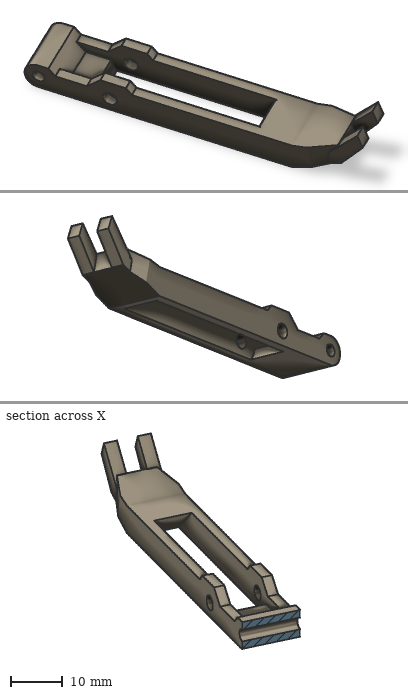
import cadquery as cq
import math

width = 12.4
arm_height = 6.0
nose_radius = arm_height / 2
slot_width = 8.0

nose_top_end = 5.05
notch_start = 6.55
notch_end = 13.25
notch_height = 4.5
boss_start = 16.1
boss_end = 21.5
boss_height = 7.3
boss_foot = 22.8
bend_top_x = 56.6
bend_bottom_x = 56.75

pin_hole_x = nose_radius
pin_hole_diameter = 2.5
pivot_hole_x = 18.1
pivot_hole_diameter = 3.0
hole_height = arm_height / 2

slot_end = 48.85
floor_height = 2.5
pivot_clearance_radius = 4.2

head_angle = math.radians(12.8)
head_length = 9.25
underside_angle = math.radians(22.3)
taper_start = 3.2
head_end_width = 8.55
taper_overrun = 0.7

fork_width = 10.05
fork_gap = 4.4
prong_tip = (70.1, 13.1)
prong_front = (71.2, 10.25)
root_along = 7.0
root_depth = 1.85


def head_point(along, depth):
    """XZ point at a distance along the sloped head top and a depth square to it."""
    x = bend_top_x + along * math.cos(head_angle) + depth * math.sin(head_angle)
    z = arm_height + along * math.sin(head_angle) - depth * math.cos(head_angle)
    return (x, z)


def underside_depth(along):
    """Depth, square to the head top, at which the sloped underside lies below that top."""
    x, z = head_point(along, 0)
    gap = z - (x - bend_bottom_x) * math.tan(underside_angle)
    return gap * math.cos(underside_angle) / math.cos(underside_angle - head_angle)


def across(sketch, thickness):
    """Extrude an XZ sketch symmetrically about the mid-plane."""
    return sketch.extrude(thickness / 2, both=True)


def make_body():
    """Solid side profile, from the rounded nose to the end of the head."""
    profile = (
        cq.Workplane("XZ")
        .moveTo(nose_radius, 0)
        .threePointArc((0, nose_radius), (nose_radius, arm_height))
        .lineTo(nose_top_end, arm_height)
        .lineTo(notch_start, notch_height)
        .lineTo(notch_end, notch_height)
        .lineTo(boss_start, boss_height)
        .lineTo(boss_end, boss_height)
        .lineTo(boss_foot, arm_height)
        .lineTo(bend_top_x, arm_height)
        .lineTo(*head_point(head_length, 0))
        .lineTo(*head_point(head_length, underside_depth(head_length)))
        .lineTo(bend_bottom_x, 0)
        .close()
    )
    return across(profile, width)


def make_slot():
    """Cutter for the slot; its nose wall continues the notch slope down to the floor."""
    slope = (arm_height - notch_height) / (notch_start - nose_top_end)
    floor_start = nose_top_end + (arm_height - floor_height) / slope
    floor_end = pivot_hole_x - math.sqrt(pivot_clearance_radius**2 - (hole_height - floor_height) ** 2)
    floor_foot = pivot_hole_x - math.sqrt(pivot_clearance_radius**2 - hole_height**2)
    undercut_end = slot_end + arm_height
    profile = (
        cq.Workplane("XZ")
        .moveTo(nose_top_end, arm_height)
        .lineTo(floor_start, floor_height)
        .lineTo(floor_end, floor_height)
        .radiusArc((floor_foot, 0), -pivot_clearance_radius)
        .lineTo(undercut_end, 0)
        .lineTo(slot_end, arm_height)
        .lineTo(slot_end, boss_height)
        .lineTo(nose_top_end, boss_height)
        .close()
    )
    return across(profile, slot_width)


def make_hole(x, diameter):
    """Cutter for a round hole through the full width."""
    return across(cq.Workplane("XZ").center(x, hole_height).circle(diameter / 2), width)


def make_taper(side):
    """Wedge cutter, square to the head top, narrowing one side (+1 or -1) of the head."""
    origin_x, origin_z = head_point(0, 0)
    head_top = cq.Plane(
        origin=(origin_x, 0, origin_z),
        xDir=(math.cos(head_angle), 0, math.sin(head_angle)),
        normal=(-math.sin(head_angle), 0, math.cos(head_angle)),
    )
    outline = [
        (taper_start, side * width / 2),
        (head_length, side * head_end_width / 2),
        (head_length + taper_overrun, side * head_end_width / 2),
        (head_length + taper_overrun, side * width / 2),
    ]
    return cq.Workplane(head_top).polyline(outline).close().extrude(arm_height, both=True)


def make_fork():
    """Two prongs rising from the head, with their roots buried in it."""
    root_top = head_point(root_along, root_depth)
    root_bottom = head_point(root_along, underside_depth(root_along))
    heel = head_point(head_length, underside_depth(head_length))
    outline = [root_top, prong_tip, prong_front, heel, root_bottom]
    prongs = across(cq.Workplane("XZ").polyline(outline).close(), fork_width)
    gap = across(cq.Workplane("XZ").polyline(outline).close(), fork_gap)
    return prongs.cut(gap)


result = make_body().cut(make_slot())
for hole_x, hole_diameter in ((pin_hole_x, pin_hole_diameter), (pivot_hole_x, pivot_hole_diameter)):
    result = result.cut(make_hole(hole_x, hole_diameter))
for side in (1, -1):
    result = result.cut(make_taper(side))
result = result.union(make_fork())